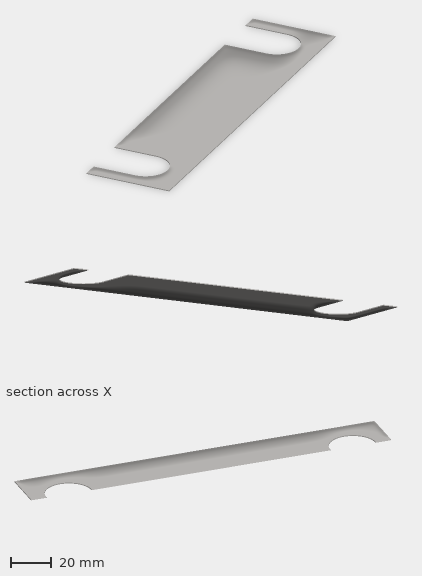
import cadquery as cq

plate_width = 45.0
plate_length = 190.0
plate_thickness = 0.5

slot_width = 24.0
slot_depth = 34.5
slot_spacing = 150.0

slot_radius = slot_width / 2
open_edge_x = -plate_width / 2
arc_center_x = open_edge_x + slot_depth - slot_radius


def open_slot(center_y):
    """Cutter for one slot running in from the -X edge to a semicircular end."""
    return (
        cq.Workplane("XY")
        .moveTo(open_edge_x, center_y - slot_radius)
        .lineTo(arc_center_x, center_y - slot_radius)
        .threePointArc(
            (arc_center_x + slot_radius, center_y),
            (arc_center_x, center_y + slot_radius),
        )
        .lineTo(open_edge_x, center_y + slot_radius)
        .close()
        .extrude(plate_thickness)
    )


result = cq.Workplane("XY").box(
    plate_width, plate_length, plate_thickness, centered=(True, True, False)
)
for side in (-1, 1):
    result = result.cut(open_slot(side * slot_spacing / 2))